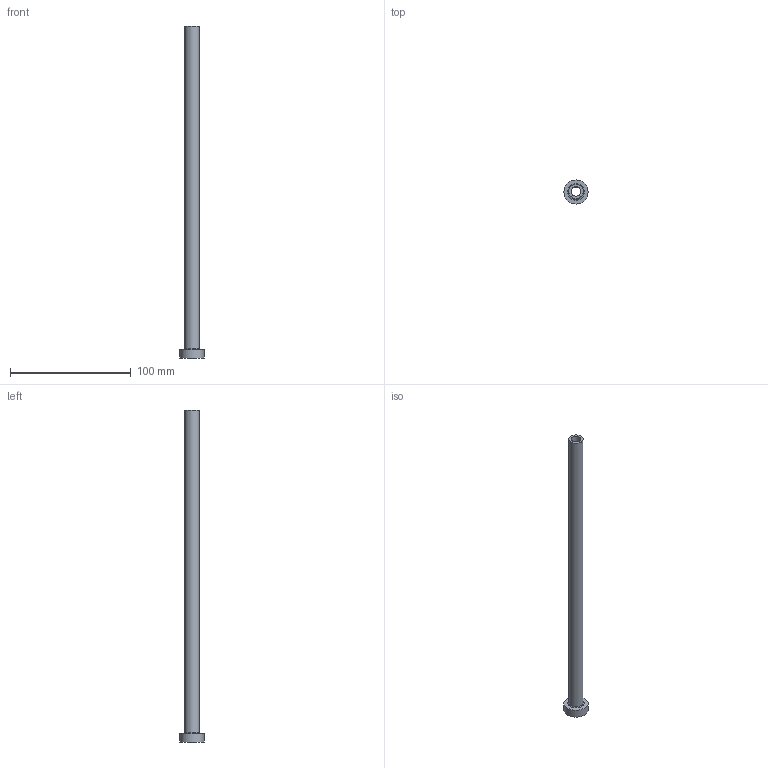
import cadquery as cq
import math

total_length = 275.0
head_diameter = 20.0
head_height = 7.0
shank_diameter = 12.0
bore_diameter = 8.0
neck_fillet = 0.8

head_radius = head_diameter / 2
shank_radius = shank_diameter / 2
bore_radius = bore_diameter / 2


def make_half_section():
    """Wall of the sleeve on the -X side of the axis: head, neck fillet, shank and through bore."""
    arc_inset = neck_fillet * (1 - math.cos(math.radians(45)))
    return (
        cq.Workplane("XZ")
        .moveTo(-bore_radius, 0)
        .lineTo(-head_radius, 0)
        .lineTo(-head_radius, head_height)
        .lineTo(-shank_radius - neck_fillet, head_height)
        .threePointArc(
            (-shank_radius - arc_inset, head_height + arc_inset),
            (-shank_radius, head_height + neck_fillet),
        )
        .lineTo(-shank_radius, total_length)
        .lineTo(-bore_radius, total_length)
        .close()
    )


result = make_half_section().revolve(360, (0, 0, 0), (0, 1, 0))